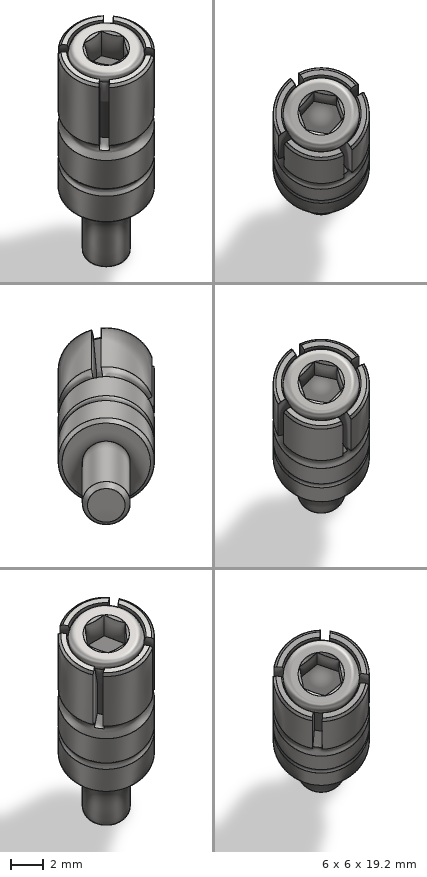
import cadquery as cq
import math

total_height = 19.18
sleeve_bottom = 5.98
sleeve_top = 19.0

sleeve_radius = 6.0 / 2
top_chamfer = 0.17
bottom_chamfer = 0.25
upper_groove_height = 12.7
upper_groove_half_width = 0.7
upper_groove_fillet = 0.5
lower_groove_height = 9.0
lower_groove_half_width = upper_groove_half_width / 2
lower_groove_fillet = upper_groove_fillet / 2

slot_count = 4
slot_width = 0.61
slot_floor = 12.47
first_slot_angle = 45.0

stem_radius = 1.5
stem_chamfer = 0.33
cone_bottom = 15.82
head_radius = 2.38
head_rounding = 0.5
head_edge_height = total_height - head_rounding
hex_across_flats = 2.5
hex_depth = 2.3
countersink_angle = 30.0

cone_slope = (head_radius - stem_radius) / (head_edge_height - cone_bottom)
seat_mouth_radius = stem_radius + cone_slope * (sleeve_top - cone_bottom)


def revolve_about_z(profile):
    """Turn a closed XZ profile, drawn as radius and height, about the Z axis."""
    return profile.close().revolve(360, (0, 0, 0), (0, 1, 0))


def groove(height, half_width, fillet):
    """Ring cutter for a 90 degree V groove with a rounded root."""
    root_radius = sleeve_radius - half_width + fillet * (math.sqrt(2) - 1)
    tangent_offset = fillet * math.sin(math.radians(45))
    tangent_radius = sleeve_radius - half_width + tangent_offset
    clear_radius = sleeve_radius + half_width
    return revolve_about_z(
        cq.Workplane("XZ")
        .moveTo(clear_radius, height - 2 * half_width)
        .lineTo(tangent_radius, height - tangent_offset)
        .threePointArc((root_radius, height), (tangent_radius, height + tangent_offset))
        .lineTo(clear_radius, height + 2 * half_width)
    )


def slot(angle):
    """Cutter for one radial slot, open at the top of the sleeve."""
    length = 2 * sleeve_radius
    return (
        cq.Workplane("XY", origin=(0, 0, slot_floor))
        .center(length / 2, 0)
        .rect(length, slot_width)
        .extrude(total_height - slot_floor)
        .rotate((0, 0, 0), (0, 0, 1), angle)
    )


def make_sleeve():
    """Slotted sleeve with a bore and a conical seat that fit the screw."""
    sleeve = revolve_about_z(
        cq.Workplane("XZ")
        .moveTo(stem_radius, sleeve_bottom)
        .lineTo(sleeve_radius - bottom_chamfer, sleeve_bottom)
        .lineTo(sleeve_radius, sleeve_bottom + bottom_chamfer)
        .lineTo(sleeve_radius, sleeve_top - top_chamfer)
        .lineTo(sleeve_radius - top_chamfer, sleeve_top)
        .lineTo(seat_mouth_radius, sleeve_top)
        .lineTo(stem_radius, cone_bottom)
    )
    sleeve = sleeve.cut(groove(upper_groove_height, upper_groove_half_width, upper_groove_fillet))
    sleeve = sleeve.cut(groove(lower_groove_height, lower_groove_half_width, lower_groove_fillet))
    for index in range(slot_count):
        sleeve = sleeve.cut(slot(first_slot_angle + index * 360 / slot_count))
    return sleeve


def hex_socket():
    """Cutter for the hexagon socket, with flats facing +X and -X and a countersunk mouth."""
    corner_radius = hex_across_flats / 2 / math.cos(math.radians(30))
    hexagon = (
        cq.Workplane("XY", origin=(0, 0, total_height - hex_depth))
        .polygon(6, 2 * corner_radius)
        .extrude(hex_depth)
        .rotate((0, 0, 0), (0, 0, 1), 30)
    )
    countersink_depth = corner_radius * math.tan(math.radians(countersink_angle))
    countersink = revolve_about_z(
        cq.Workplane("XZ")
        .moveTo(0, total_height)
        .lineTo(corner_radius, total_height)
        .lineTo(0, total_height - countersink_depth)
    )
    return hexagon.union(countersink)


def make_screw():
    """Screw with a straight stem and a conical head with a rounded rim."""
    flat_radius = head_radius - head_rounding
    arc_offset = head_rounding * math.sin(math.radians(45))
    screw = revolve_about_z(
        cq.Workplane("XZ")
        .moveTo(0, 0)
        .lineTo(stem_radius - stem_chamfer, 0)
        .lineTo(stem_radius, stem_chamfer)
        .lineTo(stem_radius, cone_bottom)
        .lineTo(head_radius, head_edge_height)
        .threePointArc(
            (flat_radius + arc_offset, head_edge_height + arc_offset),
            (flat_radius, total_height),
        )
        .lineTo(0, total_height)
    )
    return screw.cut(hex_socket())


sleeve = make_sleeve()
screw = make_screw()
result = cq.Compound.makeCompound([sleeve.solids().val(), screw.solids().val()])